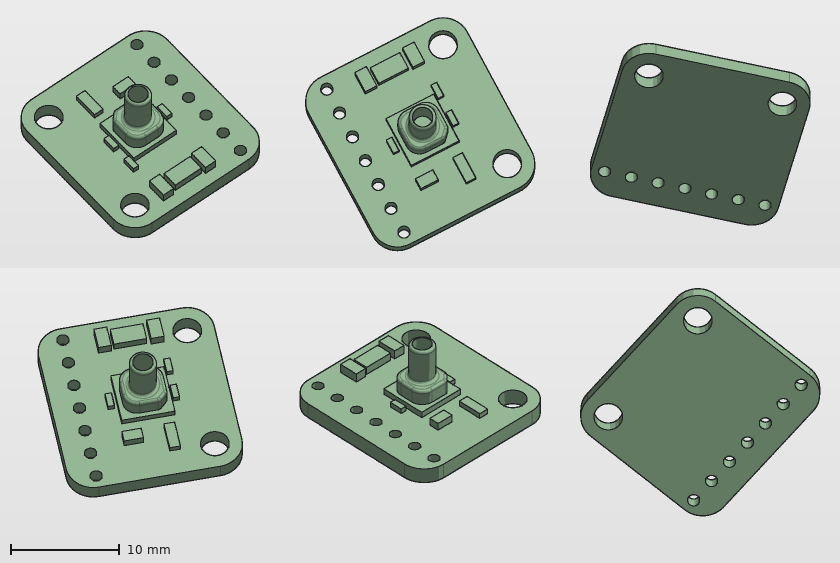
import cadquery as cq
import math

board_length = 17.78
board_width = 16.52
board_thickness = 1.6
corner_radius = 2.55

pin_count = 7
pin_pitch = 2.55
pin_hole_diameter = 1.12
pin_row_inset = 2.55

mount_hole_diameter = 2.63

overall_height = 7.47
sensor_y = -0.25
base_side = 5.0
base_height = 0.6
lid_side = 4.09
lid_height = 2.15
lid_corner_radius = 1.33
lid_corner_cut = 0.84
lid_cut_blend = 0.5
port_height = overall_height - board_thickness
port_diameter = 2.5
port_bore_diameter = 1.85
edge_radius = 0.3

tall_chip_size = (1.07, 1.81, 0.78)
tall_chip_place = (-4.35, 1.6)
long_chip_size = (2.68, 1.01, 0.53)
long_chip_place = (-4.96, -2.0)

small_chip_size = (1.42, 0.6, 0.52)
small_chip_row_y = -3.2
small_chip_places = [(0.0, 2.86), (-0.27, small_chip_row_y), (2.67, small_chip_row_y)]

end_block_size = (2.06, 1.21, 0.92)
end_block_x = 6.6
end_block_places = [(end_block_x, 2.19), (end_block_x, -2.77)]
pad_size = (1.67, 3.08, 0.82)
pad_place = (6.55, -0.23)


def make_block(size, place):
    """A box that stands on the board, centred on the given X, Y place."""
    origin = (*place, board_thickness)
    return cq.Workplane("XY", origin=origin).box(*size, centered=(True, True, False))


def make_board():
    """Rounded plate with its pin holes, mounting holes and raised pad, as one solid."""
    plate = cq.Workplane("XY").box(board_length, board_width, board_thickness, centered=(True, True, False))
    plate = plate.edges("|Z").fillet(corner_radius)

    pin_y = board_width / 2 - pin_row_inset
    first_pin_x = -(pin_count - 1) / 2 * pin_pitch
    pin_places = [(first_pin_x + i * pin_pitch, pin_y) for i in range(pin_count)]

    mount_x = board_length / 2 - corner_radius
    mount_y = corner_radius - board_width / 2
    mount_places = [(-mount_x, mount_y), (mount_x, mount_y)]

    pin_holes = cq.Workplane("XY").pushPoints(pin_places).circle(pin_hole_diameter / 2)
    mount_holes = cq.Workplane("XY").pushPoints(mount_places).circle(mount_hole_diameter / 2)
    for holes in (pin_holes, mount_holes):
        plate = plate.cut(holes.extrude(board_thickness))
    return plate.union(make_block(pad_size, pad_place))


def make_lid():
    """Square lid with three round corners, one blended flat corner and a rounded top edge."""
    half = lid_side / 2
    blend_length = lid_cut_blend * math.tan(math.pi / 8)
    side_end = half - lid_corner_cut - blend_length
    flat_shift = blend_length * math.sqrt(0.5)
    flat_far = half - flat_shift
    flat_near = half - lid_corner_cut + flat_shift
    arc_far = half - lid_cut_blend * (1 - math.cos(math.pi / 8))
    arc_near = side_end + lid_cut_blend * math.sin(math.pi / 8)

    round_end = half - lid_corner_radius
    arc_middle = round_end + lid_corner_radius * math.sqrt(0.5)

    return (
        cq.Workplane("XY", origin=(0, sensor_y, board_thickness))
        .moveTo(-side_end, -half)
        .lineTo(round_end, -half)
        .threePointArc((arc_middle, -arc_middle), (half, -round_end))
        .lineTo(half, round_end)
        .threePointArc((arc_middle, arc_middle), (round_end, half))
        .lineTo(-round_end, half)
        .threePointArc((-arc_middle, arc_middle), (-half, round_end))
        .lineTo(-half, -side_end)
        .threePointArc((-arc_far, -arc_near), (-flat_far, -flat_near))
        .lineTo(-flat_near, -flat_far)
        .threePointArc((-arc_near, -arc_far), (-side_end, -half))
        .close()
        .extrude(lid_height)
        .faces(">Z")
        .edges()
        .fillet(edge_radius)
    )


def make_port():
    """Revolved tube with a rounded tip and a flared foot; the bore ends level with the lid."""
    radius = port_diameter / 2
    bore_radius = port_bore_diameter / 2
    arc_inset = edge_radius * (1 - math.sqrt(0.5))
    return (
        cq.Workplane("XZ", origin=(0, sensor_y, board_thickness))
        .moveTo(0, base_height)
        .lineTo(radius, base_height)
        .lineTo(radius, lid_height)
        .lineTo(radius + edge_radius, lid_height)
        .threePointArc((radius + arc_inset, lid_height + arc_inset), (radius, lid_height + edge_radius))
        .lineTo(radius, port_height - edge_radius)
        .threePointArc((radius - arc_inset, port_height - arc_inset), (radius - edge_radius, port_height))
        .lineTo(bore_radius, port_height)
        .lineTo(bore_radius, lid_height)
        .lineTo(0, lid_height)
        .close()
        .revolve(360, (0, 0, 0), (0, 1, 0))
    )


def make_sensor():
    base = make_block((base_side, base_side, base_height), (0, sensor_y))
    return base.union(make_lid()).union(make_port())


board = make_board()
sensor = make_sensor()
tall_chip = make_block(tall_chip_size, tall_chip_place)
long_chip = make_block(long_chip_size, long_chip_place)
small_chips = [make_block(small_chip_size, place) for place in small_chip_places]
end_blocks = [make_block(end_block_size, place) for place in end_block_places]

bodies = [board, sensor, tall_chip, long_chip, *small_chips, *end_blocks]
result = cq.Compound.makeCompound([body.solids().val() for body in bodies])